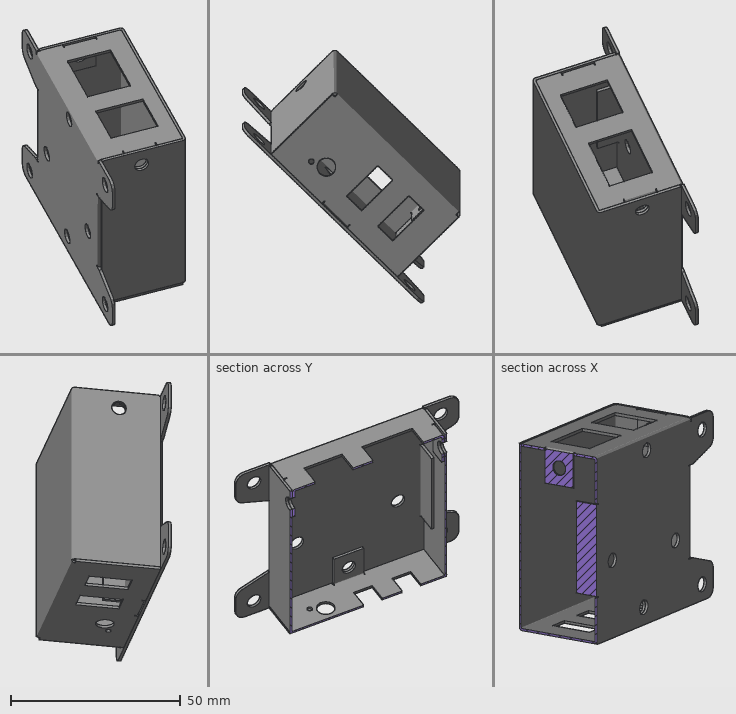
import cadquery as cq
import math

length = 74.8
depth = 27.6
height = 57.5

plate_gauge = 0.9
box_gauge = 0.8
bend_radius = 1.1
relief = 0.2
side_gap = 0.1
front_gap = 0.1

box_half = 26.4
floor_inset = 0.1
wall_corner_radius = 0.9
wall_front = plate_gauge + front_gap

bracket_half = box_half - box_gauge - side_gap
ear_tip_height = 10.6
ear_root_height = 14.35
ear_corner_radius = 3.0
flange_depth = 7.5

ear_hole_diameter = 4.5
screw_hole_diameter = 4.4
ear_hole_x = 31.35
ear_hole_inset = 5.0
upper_hole = (1.5, 53.3)
left_hole = (-17.0, 23.9)
right_hole = (17.0, 21.9)

tab_width = 10.0
tab_hole_inset = 5.45
tab_length = 2 * tab_hole_inset
tab_y = 13.5
tab_hole_diameter = 4.35
floor_hole = (0.0, tab_hole_inset)

wide_window = (-18.4, -1.6, 7.0, 20.65)
narrow_window = (5.15, 17.9, 7.0, 21.9)

floor_slot_width = 6.2
floor_slot_y = (7.6, wide_window[3])
floor_slot_starts = (-17.6, -4.65)
jack_hole = (12.05, 9.65)
jack_hole_diameter = 5.45
pin_hole = (16.4, 7.7)
pin_hole_diameter = 1.6


def block(x_min, x_max, y_min, y_max, z_min, z_max):
    """Rectangular block between two limits on each axis."""
    size = (x_max - x_min, y_max - y_min, z_max - z_min)
    return cq.Workplane("XY").box(*size, centered=False).translate((x_min, y_min, z_min))


def bent_strip(plane, corner, parent_side, leg, gauge, width):
    """A 90 degree bend and the flat leg beyond it, centred across its width on the fold corner.

    The bend meets its parent sheet on the parent_side (+1 or -1) of the first plane axis.
    The leg runs along the second plane axis to the signed distance leg from the corner.
    """
    leg_side = math.copysign(1, leg)

    def arc_middle(radius):
        offset = bend_radius - radius * math.sqrt(0.5)
        return parent_side * offset, leg_side * offset

    return (
        cq.Workplane(plane, origin=corner)
        .moveTo(parent_side * bend_radius, 0)
        .threePointArc(arc_middle(bend_radius), (0, leg_side * bend_radius))
        .lineTo(0, leg)
        .lineTo(parent_side * gauge, leg)
        .lineTo(parent_side * gauge, leg_side * bend_radius)
        .threePointArc(arc_middle(bend_radius - gauge), (parent_side * bend_radius, leg_side * gauge))
        .close()
        .extrude(width / 2, both=True)
    )


def drill_y(body, points, diameter, y_max):
    """Drill holes at (x, z) points from the mounting face back to y_max."""
    for x, z in points:
        drill = cq.Workplane("XZ", origin=(x, 0, z)).circle(diameter / 2).extrude(-y_max)
        body = body.cut(drill)
    return body


def drill_tab_holes(body):
    """Drill one screw hole through both sides at the tab centre."""
    drill = (
        cq.Workplane("YZ", origin=(0, tab_y, height - tab_hole_inset))
        .circle(tab_hole_diameter / 2)
        .extrude(length, both=True)
    )
    return body.cut(drill)


def make_mounting_plate():
    """Flat plate with four tapered ears, notched where the side flanges bend back."""
    half = length / 2
    flat_half = bracket_half - bend_radius
    right_side = [
        (half, 0),
        (half, ear_tip_height),
        (box_half, ear_root_height),
        (flat_half, ear_root_height),
        (flat_half, height - ear_root_height),
        (box_half, height - ear_root_height),
        (half, height - ear_tip_height),
        (half, height),
    ]
    left_side = [(-x, z) for x, z in reversed(right_side)]
    plate = cq.Workplane("XZ").polyline(right_side + left_side).close().extrude(-plate_gauge)
    plate = plate.edges("|Y").edges("<X or >X").fillet(ear_corner_radius)

    top_bend_half = bracket_half + relief
    return plate.cut(
        block(-top_bend_half, top_bend_half, 0, plate_gauge, height - bend_radius, height)
    )


def make_bracket():
    """Mounting plate with its top wall, side flanges and screw tabs, folded from one sheet."""
    plate = make_mounting_plate()
    top_wall = bent_strip(
        "ZY", (0, 0, height), -1, depth - box_gauge, plate_gauge, 2 * bracket_half
    )
    top_wall = top_wall.edges("|Z and >Y").chamfer(bend_radius - box_gauge)

    notch_half = tab_width / 2 + relief
    flat_half = bracket_half - bend_radius
    for x_min, x_max in ((-bracket_half, -flat_half), (flat_half, bracket_half)):
        notch = block(x_min, x_max, tab_y - notch_half, tab_y + notch_half, 0, height)
        top_wall = top_wall.cut(notch)

    for x_min, x_max, y_min, y_max in (wide_window, narrow_window):
        top_wall = top_wall.cut(block(x_min, x_max, y_min, y_max, 0, height))

    bracket = plate.union(top_wall)
    flange_width = height - 2 * (ear_root_height + relief)
    for side in (-1, 1):
        edge_x = side * bracket_half
        tab = bent_strip(
            "XZ", (edge_x, tab_y, height), -side, -tab_length, plate_gauge, tab_width
        )
        flange = bent_strip(
            "XY", (edge_x, 0, height / 2), -side, flange_depth, plate_gauge, flange_width
        )
        bracket = bracket.union(tab).union(flange)

    ear_holes = [
        (x, z)
        for x in (-ear_hole_x, ear_hole_x)
        for z in (ear_hole_inset, height - ear_hole_inset)
    ]
    screw_holes = [upper_hole, left_hole, right_hole, floor_hole]
    bracket = drill_y(bracket, ear_holes, ear_hole_diameter, plate_gauge)
    bracket = drill_y(bracket, screw_holes, screw_hole_diameter, plate_gauge)
    return drill_tab_holes(bracket)


def make_box_walls():
    """Back wall with both side walls bent forward, standing on the floor."""
    inner_half = box_half - box_gauge
    outside = block(-box_half, box_half, wall_front, depth, 0, height)
    outside = outside.edges("|Z and >Y").fillet(bend_radius)
    inside = block(-inner_half, inner_half, wall_front, depth - box_gauge, 0, height)
    inside = inside.edges("|Z and >Y").fillet(bend_radius - box_gauge)

    profile = block(-box_half, box_half, wall_front, depth, 0, height)
    profile = profile.edges("|X and >Y and <Z").fillet(bend_radius)
    profile = profile.edges("|X and <Y and >Z").fillet(wall_corner_radius)
    profile = profile.cut(block(-box_half, box_half, 0, depth, 0, box_gauge))
    return outside.cut(inside).intersect(profile)


def make_floor():
    """Floor bent from the back wall, with its openings and front screw tab."""
    floor = bent_strip(
        "ZY", (0, depth, 0), 1, wall_front - depth, box_gauge, 2 * (box_half - floor_inset)
    )
    notch_half = tab_width / 2 + relief
    floor = floor.cut(
        block(-notch_half, notch_half, wall_front, wall_front + bend_radius, 0, box_gauge)
    )
    tab = bent_strip("YZ", (0, wall_front, 0), 1, tab_length, box_gauge, tab_width)
    tab = drill_y(tab, [floor_hole], tab_hole_diameter, wall_front + bend_radius)
    floor = floor.union(tab)

    bend_half = box_half - bend_radius
    for x_min, x_max in ((-box_half, -bend_half), (bend_half, box_half)):
        floor = floor.cut(block(x_min, x_max, depth - bend_radius, depth, 0, bend_radius))

    for start in floor_slot_starts:
        floor = floor.cut(block(start, start + floor_slot_width, *floor_slot_y, 0, box_gauge))
    for centre, diameter in ((jack_hole, jack_hole_diameter), (pin_hole, pin_hole_diameter)):
        floor = floor.cut(cq.Workplane("XY").center(*centre).circle(diameter / 2).extrude(box_gauge))
    return floor


def make_box():
    """Back, side walls and floor as one folded sheet."""
    return drill_tab_holes(make_box_walls().union(make_floor()))


bracket = make_bracket()
box = make_box()
result = cq.Compound.makeCompound([bracket.solids().val(), box.solids().val()])